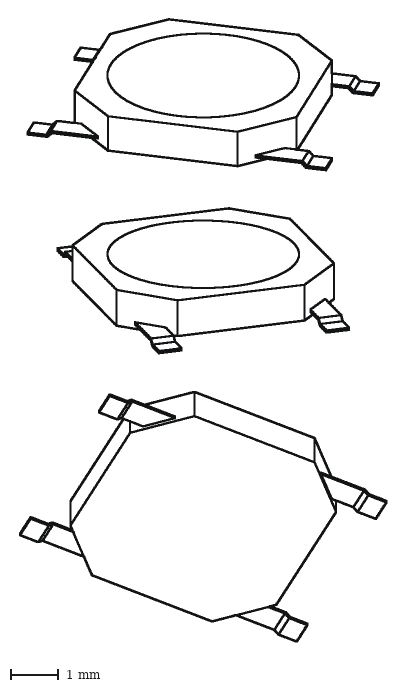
import cadquery as cq

housing_size = 4.8
housing_height = 0.8
corner_cut = 1.0

plate_diameter = 4.0
plate_thickness = 0.1

lead_span = 6.45
lead_width = 0.5
lead_thickness = 0.05
lead_rise = 0.1
lead_spacing = 3.7
foot_length = 0.405
bend_run = 0.1

half_housing = housing_size / 2
plate_floor = housing_height - plate_thickness
lead_tip = lead_span / 2
bend_outer = lead_tip - foot_length
bend_inner = bend_outer - bend_run
bend_length = (bend_run**2 + lead_rise**2) ** 0.5
bend_shift = lead_thickness * (bend_length - bend_run) / lead_rise


def make_blank():
    """Housing block before the plate recess is cut."""
    block = cq.Workplane("XY").rect(housing_size, housing_size).extrude(housing_height)
    return block.edges("|Z").chamfer(corner_cut)


def make_plate():
    """Round plate whose top is level with the housing top."""
    return (
        cq.Workplane("XY")
        .workplane(offset=plate_floor)
        .circle(plate_diameter / 2)
        .extrude(plate_thickness)
    )


def make_lead(side, row_y):
    """Stepped lead on the given X side (-1 or 1), ending on the cut corner of the housing."""
    start = half_housing - corner_cut
    profile = [
        (start, lead_rise),
        (bend_inner - bend_shift, lead_rise),
        (bend_outer - bend_shift, 0),
        (lead_tip, 0),
        (lead_tip, lead_thickness),
        (bend_outer, lead_thickness),
        (bend_inner, lead_rise + lead_thickness),
        (start, lead_rise + lead_thickness),
    ]
    strip = (
        cq.Workplane("XZ", origin=(0, row_y, 0))
        .polyline([(side * x, z) for x, z in profile])
        .close()
        .extrude(lead_width / 2, both=True)
    )
    return strip.cut(make_blank())


plate = make_plate()
housing = make_blank().cut(plate)
leads = [make_lead(side, row * lead_spacing / 2) for side in (-1, 1) for row in (-1, 1)]

result = cq.Compound.makeCompound([housing.val(), plate.val(), *[lead.val() for lead in leads]])